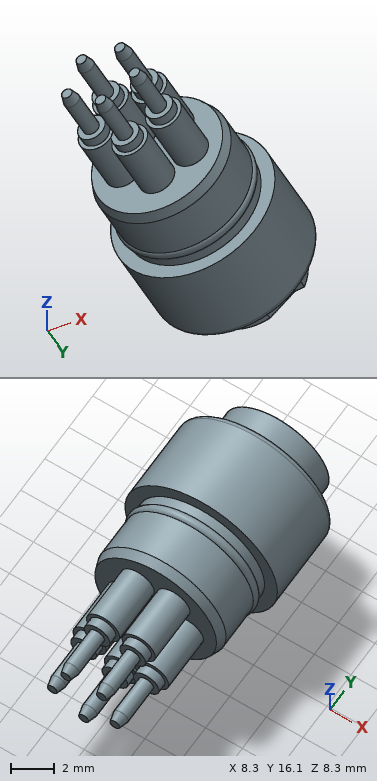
import cadquery as cq
import math

total_length = 16.1
plug_back = total_length / 2
flange_back = plug_back - 1.7
flange_front = flange_back - 4.59
seal_back = flange_front - 0.52
seal_width = 0.5
seal_front = seal_back - seal_width
nose_front = plug_back - 10.1
nose_chamfer_length = 0.52
sleeve_front = nose_front - 2.9
collar_front = sleeve_front - 0.5
pin_tip = plug_back - total_length
pin_taper_length = 0.5

flange_diameter = 8.3
neck_diameter = 6.9
seal_diameter = 7.2
nose_diameter = 7.0
nose_face_diameter = 6.63
plug_diameter = 5.7
sleeve_diameter = 1.8
collar_diameter = 1.4
pin_diameter = 0.8
pin_tip_diameter = 0.53
flange_edge_radius = 0.29

plug_bottom_radius = 2.45
plug_step_outer_drop = 1.03
plug_flat_upper_drop = 1.13
plug_flat_lower_drop = 2.27

pitch_radius = 1.74
pair_angles = (56.0, -11.6)
lower_contact_drop = 1.35


def make_shell():
    """Revolved flange, neck, rounded seal ring and chamfered nose."""
    return (
        cq.Workplane("XY")
        .moveTo(0, flange_back)
        .lineTo(flange_diameter / 2, flange_back)
        .lineTo(flange_diameter / 2, flange_front)
        .lineTo(neck_diameter / 2, flange_front)
        .lineTo(neck_diameter / 2, seal_back)
        .threePointArc(
            (seal_diameter / 2, seal_back - seal_width / 2),
            (nose_diameter / 2, seal_front),
        )
        .lineTo(nose_diameter / 2, nose_front + nose_chamfer_length)
        .lineTo(nose_face_diameter / 2, nose_front)
        .lineTo(0, nose_front)
        .close()
        .revolve(360, (0, 0, 0), (0, 1, 0))
        .faces(">Y")
        .edges()
        .fillet(flange_edge_radius)
    )


def half_chord(radius, distance):
    """Half the length of a chord at the given distance from the centre."""
    return math.sqrt(radius**2 - distance**2)


def make_plug():
    """Round plug whose underside steps in to two slanted flats and a smaller arc."""
    radius = plug_diameter / 2
    step_x = half_chord(radius, plug_step_outer_drop)
    upper_x = half_chord(plug_bottom_radius, plug_flat_upper_drop)
    lower_x = half_chord(plug_bottom_radius, plug_flat_lower_drop)
    return (
        cq.Workplane("XZ", origin=(0, plug_back, 0))
        .moveTo(-step_x, -plug_step_outer_drop)
        .threePointArc((0, radius), (step_x, -plug_step_outer_drop))
        .lineTo(upper_x, -plug_flat_upper_drop)
        .lineTo(lower_x, -plug_flat_lower_drop)
        .threePointArc((0, -plug_bottom_radius), (-lower_x, -plug_flat_lower_drop))
        .lineTo(-upper_x, -plug_flat_upper_drop)
        .close()
        .extrude(plug_back - flange_back)
    )


def make_contact(x, z):
    """Stepped contact: sleeve, collar and a pin with a tapered tip."""
    return (
        cq.Workplane("XY", origin=(x, 0, z))
        .moveTo(0, nose_front)
        .lineTo(sleeve_diameter / 2, nose_front)
        .lineTo(sleeve_diameter / 2, sleeve_front)
        .lineTo(collar_diameter / 2, sleeve_front)
        .lineTo(collar_diameter / 2, collar_front)
        .lineTo(pin_diameter / 2, collar_front)
        .lineTo(pin_diameter / 2, pin_tip + pin_taper_length)
        .lineTo(pin_tip_diameter / 2, pin_tip)
        .lineTo(0, pin_tip)
        .close()
        .revolve(360, (0, 0, 0), (0, 1, 0))
    )


contact_positions = [(0, -lower_contact_drop)]
for angle in pair_angles:
    pair_x = pitch_radius * math.cos(math.radians(angle))
    pair_z = pitch_radius * math.sin(math.radians(angle))
    contact_positions += [(pair_x, pair_z), (-pair_x, pair_z)]

result = make_shell().union(make_plug())
for contact_x, contact_z in contact_positions:
    result = result.union(make_contact(contact_x, contact_z))